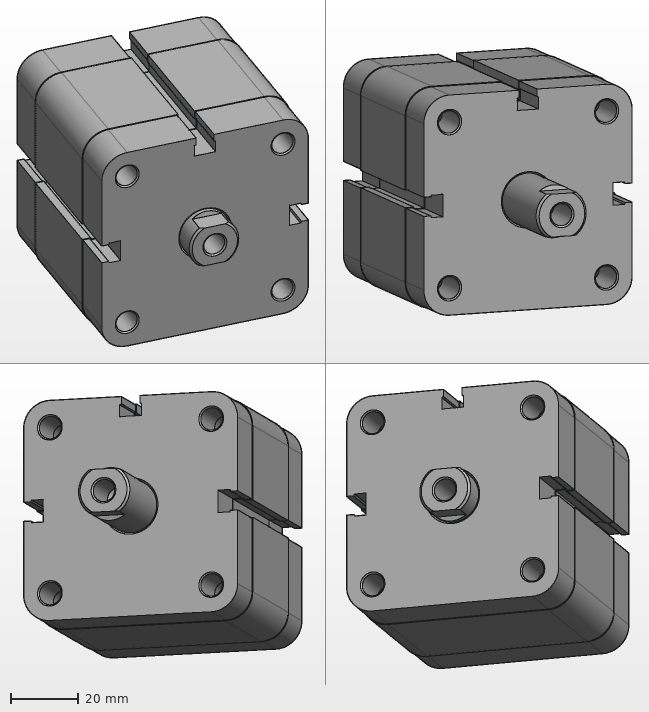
import cadquery as cq
import math


rod_length = 101.0
front_reach = 27.7
cap_length = 14.6
tube_length = 36.5
front_cap_start = -rod_length / 2 + front_reach
tube_start = front_cap_start + cap_length
rear_cap_start = tube_start + tube_length

tube_width = 67.0
tube_corner_radius = 8.4
cap_setback = 0.25
mount_spacing = 50.1
mount_diameter = 6.8
mount_chamfer = 0.45

slot_neck_width = 5.3
slot_neck_depth = 2.7
slot_wide_width = 6.3
slot_depth = 6.1
slot_bevel = 0.3
slot_directions = (0, 90, -90)

rod_diameter = 16.0
rod_chamfer = 0.7
rod_bore_chamfer = 0.5
flat_spacing = 12.9
flat_length = 6.3
flat_end_slope = 15.0
thread_diameter = 6.7
thread_depth = 15.2
thread_chamfer = 0.5
drill_point_angle = 118.0


def slot_cutter(start, length, setback):
    """T-shaped bar that cuts the +Z slot, with all its faces moved by the setback."""
    half_neck = slot_neck_width / 2 + setback
    half_wide = slot_wide_width / 2 + setback
    top = tube_width / 2
    lip = top - slot_neck_depth + setback
    bevel_end = lip - slot_bevel
    floor = top - slot_depth - setback
    return (
        cq.Workplane("YZ", origin=(start, 0, 0))
        .moveTo(half_neck, top)
        .lineTo(half_neck, lip)
        .lineTo(half_wide, bevel_end)
        .lineTo(half_wide, floor)
        .lineTo(-half_wide, floor)
        .lineTo(-half_wide, bevel_end)
        .lineTo(-half_neck, lip)
        .lineTo(-half_neck, top)
        .close()
        .extrude(length)
    )


def slotted_block(start, length, setback):
    """Rounded square block with three slots, four mounting holes and the rod bore."""
    width = tube_width - 2 * setback
    block = (
        cq.Workplane("YZ", origin=(start, 0, 0))
        .rect(width, width)
        .extrude(length)
        .edges("|X")
        .fillet(tube_corner_radius - setback)
    )
    cutter = slot_cutter(start, length, setback)
    for turn in slot_directions:
        block = block.cut(cutter.rotate((0, 0, 0), (1, 0, 0), turn))
    holes = (
        cq.Workplane("YZ", origin=(start, 0, 0))
        .rect(mount_spacing, mount_spacing, forConstruction=True)
        .vertices()
        .circle(mount_diameter / 2)
        .extrude(length)
    )
    rod_bore = cq.Workplane("YZ", origin=(start, 0, 0)).circle(rod_diameter / 2).extrude(length)
    return block.cut(holes).cut(rod_bore)


def rim_cone(origin_x, inward, diameter, chamfer):
    """Cone frustum that chamfers the rim of a hole on the X axis; inward is +1 or -1 along X."""
    return (
        cq.Workplane("XY")
        .moveTo(origin_x, 0)
        .lineTo(origin_x, diameter / 2 + chamfer)
        .lineTo(origin_x + inward * chamfer, diameter / 2)
        .lineTo(origin_x + inward * chamfer, 0)
        .close()
        .revolve(360, (0, 0, 0), (1, 0, 0))
    )


def make_cap(start, outer_x, inward):
    """End cap with the rims of its holes chamfered on the outer face."""
    cap = slotted_block(start, cap_length, cap_setback)
    cap = cap.cut(rim_cone(outer_x, inward, rod_diameter, rod_bore_chamfer))
    mount_cone = rim_cone(outer_x, inward, mount_diameter, mount_chamfer)
    for side_y in (-1, 1):
        for side_z in (-1, 1):
            offset = (0, side_y * mount_spacing / 2, side_z * mount_spacing / 2)
            cap = cap.cut(mount_cone.translate(offset))
    return cap


def flat_cutter():
    """Wedge that cuts the upper wrench flat at the -X end of the rod."""
    end = -rod_length / 2
    flat_z = flat_spacing / 2
    rod_top = rod_diameter / 2
    slope_run = (rod_top - flat_z) * math.tan(math.radians(flat_end_slope))
    return (
        cq.Workplane("XZ")
        .moveTo(end, flat_z)
        .lineTo(end + flat_length, flat_z)
        .lineTo(end + flat_length + slope_run, rod_top)
        .lineTo(end, rod_top)
        .close()
        .extrude(rod_diameter / 2, both=True)
    )


def thread_cutter():
    """Blind hole with a drill point and a chamfered rim at the -X end of the rod."""
    end = -rod_length / 2
    radius = thread_diameter / 2
    point_length = radius / math.tan(math.radians(drill_point_angle / 2))
    return (
        cq.Workplane("XY")
        .moveTo(end, 0)
        .lineTo(end, radius + thread_chamfer)
        .lineTo(end + thread_chamfer, radius)
        .lineTo(end + thread_depth, radius)
        .lineTo(end + thread_depth + point_length, 0)
        .close()
        .revolve(360, (0, 0, 0), (1, 0, 0))
    )


def make_rod():
    """Round rod with the same chamfer, flats and threaded hole at both ends."""
    rod = (
        cq.Workplane("YZ", origin=(-rod_length / 2, 0, 0))
        .circle(rod_diameter / 2)
        .extrude(rod_length)
        .faces("<X or >X")
        .chamfer(rod_chamfer)
    )
    upper_flat = flat_cutter()
    lower_flat = upper_flat.mirror("XY")
    for cutter in (upper_flat, lower_flat, thread_cutter()):
        rod = rod.cut(cutter).cut(cutter.mirror("YZ"))
    return rod


tube = slotted_block(tube_start, tube_length, 0)
front_cap = make_cap(front_cap_start, front_cap_start, 1)
rear_cap = make_cap(rear_cap_start, rear_cap_start + cap_length, -1)
rod = make_rod()

result = cq.Compound.makeCompound([tube.val(), front_cap.val(), rear_cap.val(), rod.val()])